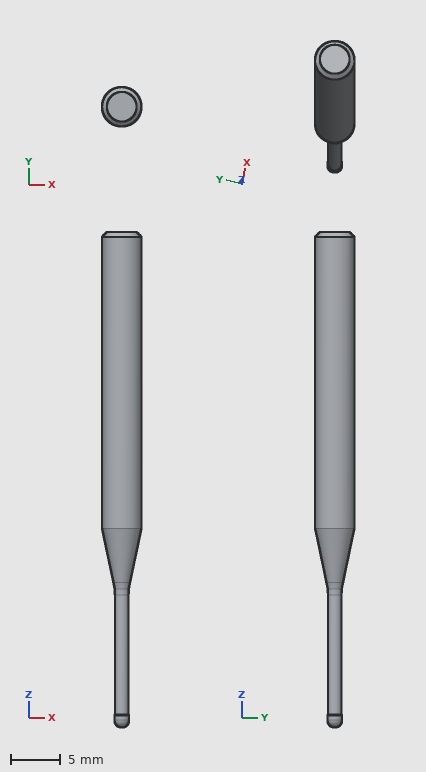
import cadquery as cq

total_length = 50.0
shank_radius = 2.0
shank_chamfer = 0.5
shank_bottom = 20.1

ball_radius = 0.75
cutter_length = 1.2

neck_radius = 0.7
relief_top = 1.3
neck_top = 13.35
collar_top = 14.0
collar_radius = 0.725
taper_break = 14.65
taper_break_radius = 0.85


def revolve_about_axis(profile):
    """Revolve a closed radius-height profile a full turn about Z."""
    return profile.close().revolve(360, (0, 0, 0), (0, 1, 0))


def make_cutting_head():
    """Hemispherical tip with a short cylinder behind it."""
    arc_offset = ball_radius * 0.5 ** 0.5
    profile = (
        cq.Workplane("XZ")
        .moveTo(0, 0)
        .threePointArc((arc_offset, ball_radius - arc_offset), (ball_radius, ball_radius))
        .lineTo(ball_radius, cutter_length)
        .lineTo(0, cutter_length)
    )
    return revolve_about_axis(profile)


def make_holder():
    """Relief cone, neck, collar, taper and chamfered shank above the cutting head."""
    profile = (
        cq.Workplane("XZ")
        .moveTo(0, cutter_length)
        .lineTo(ball_radius, cutter_length)
        .lineTo(neck_radius, relief_top)
        .lineTo(neck_radius, neck_top)
        .lineTo(collar_radius, collar_top)
        .lineTo(taper_break_radius, taper_break)
        .lineTo(shank_radius, shank_bottom)
        .lineTo(shank_radius, total_length - shank_chamfer)
        .lineTo(shank_radius - shank_chamfer, total_length)
        .lineTo(0, total_length)
    )
    return revolve_about_axis(profile)


cutting_head = make_cutting_head()
holder = make_holder()

result = cq.Compound.makeCompound([cutting_head.val(), holder.val()])